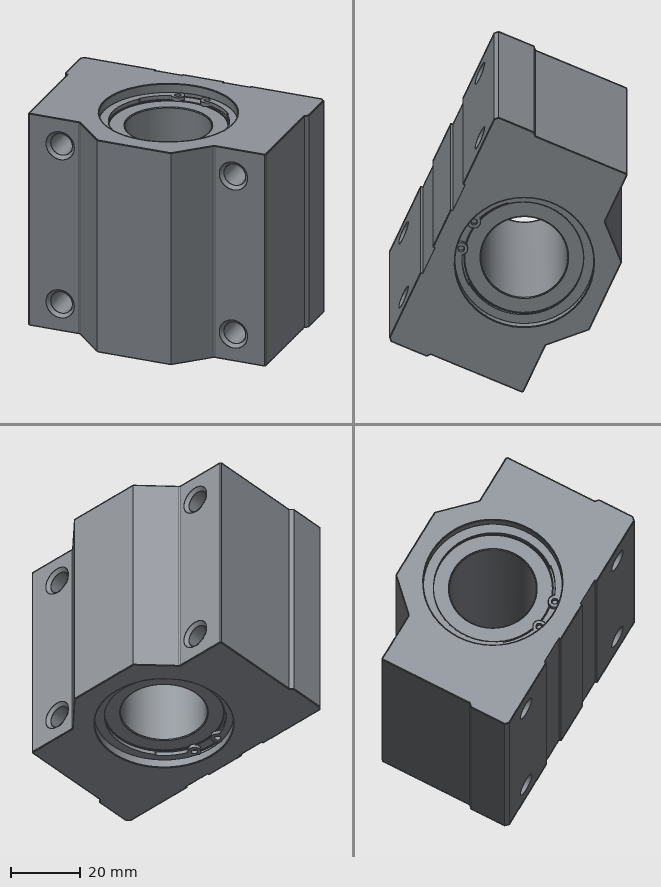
import cadquery as cq
import math

block_width = 76.0
block_length = 67.0
back_y = 26.0
front_y = -25.5
shoulder_y = -16.0
body_width = 74.0
flange_front_y = 12.9
flange_back_chamfer = 1.0
nose_width = 22.95
nose_root_width = 2 * (nose_width / 2 + shoulder_y - front_y)
nose_root_fillet = 0.75
shoulder_chamfer = 0.4
end_chamfer = 0.2

relief_inner_x = 6.3
relief_outer_x = 15.0
relief_depth = 0.7

bolt_diameter = 6.8
bolt_countersink_diameter = 8.8
bolt_countersink_angle = 90
bolt_spacing_x = 54.0
bolt_spacing_z = 50.0

bearing_diameter = 40.0
bearing_length = 59.0
bearing_bore = 25.0
bearing_bore_mouth = 25.5
face_groove_outer_diameter = 34.8
face_groove_inner_diameter = 34.3
face_groove_depth = 0.2

ring_diameter = 41.0
ring_thickness = 1.2
ring_base_z = bearing_length / 2
ring_opening_diameter = 34.8
ring_opening_offset = 0.4
slim_opening_diameter = 35.95
slim_start_y = 11.3
lug_radius = 1.9
lug_x = 4.55
lug_y = 17.85
lug_root_fillet = 0.6
lug_hole_diameter = 1.8


def cylinder(diameter, length, start_z):
    return cq.Workplane("XY").workplane(offset=start_z).circle(diameter / 2).extrude(length)


def mouth_chamfer_cutter(mouth_diameter, hole_diameter, face_z):
    """45 degree cone that widens a hole at a face whose outward direction is +Z."""
    depth = (mouth_diameter - hole_diameter) / 2
    return cq.Workplane(
        cq.Solid.makeCone(hole_diameter / 2, mouth_diameter / 2, depth, pnt=cq.Vector(0, 0, face_z - depth))
    )


def cut_at_both_ends(body, cutter):
    return body.cut(cutter).cut(cutter.mirror("XY"))


def make_block():
    half_block = block_width / 2
    half_body = body_width / 2
    flange_bevel = half_block - half_body
    right_side = [
        (nose_width / 2, front_y),
        (nose_root_width / 2, shoulder_y),
        (half_body - shoulder_chamfer, shoulder_y),
        (half_body, shoulder_y + shoulder_chamfer),
        (half_body, flange_front_y),
        (half_block, flange_front_y + flange_bevel),
        (half_block, back_y - flange_back_chamfer),
        (half_block - flange_back_chamfer, back_y),
    ]
    left_side = [(-x, y) for x, y in reversed(right_side)]
    block = (
        cq.Workplane("XY").workplane(offset=-block_length / 2)
        .polyline(right_side + left_side).close().extrude(block_length)
    )
    for side in (-1, 1):
        root = cq.selectors.NearestToPointSelector((side * nose_root_width / 2, shoulder_y, 0))
        block = block.edges(root).fillet(nose_root_fillet)
    return block.faces("<Z or >Z").chamfer(end_chamfer)


def cut_reliefs(block):
    relief_width = relief_outer_x - relief_inner_x
    relief_middle_x = (relief_outer_x + relief_inner_x) / 2
    for side in (-1, 1):
        relief = cq.Workplane("XY").box(relief_width, 2 * relief_depth, block_length)
        block = block.cut(relief.translate((side * relief_middle_x, back_y, 0)))
    return block


def cut_bolt_holes(block):
    return (
        block.copyWorkplane(cq.Workplane("XZ", origin=(0, shoulder_y, 0)))
        .rarray(bolt_spacing_x, bolt_spacing_z, 2, 2)
        .cskHole(bolt_diameter, bolt_countersink_diameter, bolt_countersink_angle)
    )


def make_housing():
    housing = cut_bolt_holes(cut_reliefs(make_block()))
    housing = housing.cut(cylinder(bearing_diameter, block_length, -block_length / 2))
    housing = cut_at_both_ends(housing, cylinder(ring_diameter, ring_thickness, ring_base_z))
    bore_mouth = bearing_diameter + 2 * end_chamfer
    return cut_at_both_ends(housing, mouth_chamfer_cutter(bore_mouth, bearing_diameter, block_length / 2))


def make_bearing():
    face_z = bearing_length / 2
    bearing = cylinder(bearing_diameter, bearing_length, -face_z)
    bearing = bearing.cut(cylinder(bearing_bore, bearing_length, -face_z))
    bearing = cut_at_both_ends(bearing, mouth_chamfer_cutter(bearing_bore_mouth, bearing_bore, face_z))
    groove_floor_z = face_z - face_groove_depth
    groove = cylinder(face_groove_outer_diameter, face_groove_depth, groove_floor_z).cut(
        cylinder(face_groove_inner_diameter, face_groove_depth, groove_floor_z)
    )
    return cut_at_both_ends(bearing, groove)


def ring_disc(diameter, x=0, y=0):
    return cylinder(diameter, ring_thickness, ring_base_z).translate((x, y, 0))


def ring_slab(width, start_y):
    """Slab as thick as a ring that reaches from start_y past the lug side of the ring."""
    slab = cq.Workplane("XY").box(width, ring_diameter, ring_thickness, centered=(True, False, False))
    return slab.translate((0, start_y, ring_base_z))


def lug_root_corner():
    """Corner, at +X, where a lug circle leaves the slim opening: its angle is found by the law of cosines."""
    opening_radius = slim_opening_diameter / 2
    lug_distance = math.hypot(lug_x, lug_y)
    angle_from_lug = math.acos(
        (opening_radius**2 + lug_distance**2 - lug_radius**2) / (2 * opening_radius * lug_distance)
    )
    angle_from_y = math.atan2(lug_x, lug_y) + angle_from_lug
    return opening_radius * math.sin(angle_from_y), opening_radius * math.cos(angle_from_y)


def make_ring(end):
    """Retaining ring at the upper (end = 1) or lower (end = -1) end of the bearing."""
    slim_opening = ring_disc(slim_opening_diameter).intersect(ring_slab(ring_diameter, slim_start_y))
    lug_gap = ring_slab(2 * lug_x, 0)
    ring = ring_disc(ring_diameter).cut(ring_disc(ring_opening_diameter, y=ring_opening_offset))
    ring = ring.cut(slim_opening).cut(lug_gap)

    corner_x, corner_y = lug_root_corner()
    middle_z = ring_base_z + ring_thickness / 2
    for side in (-1, 1):
        lug = ring_disc(2 * lug_radius, side * lug_x, lug_y).intersect(ring_disc(ring_diameter))
        root = cq.selectors.NearestToPointSelector((side * corner_x, corner_y, middle_z))
        ring = ring.union(lug).edges(root).fillet(lug_root_fillet)
        ring = ring.cut(ring_disc(lug_hole_diameter, side * lug_x, lug_y))
    return ring if end > 0 else ring.mirror("XY")


housing = make_housing()
bearing = make_bearing()
rings = [make_ring(end) for end in (-1, 1)]

result = cq.Compound.makeCompound([housing.val(), bearing.val(), *[ring.val() for ring in rings]])